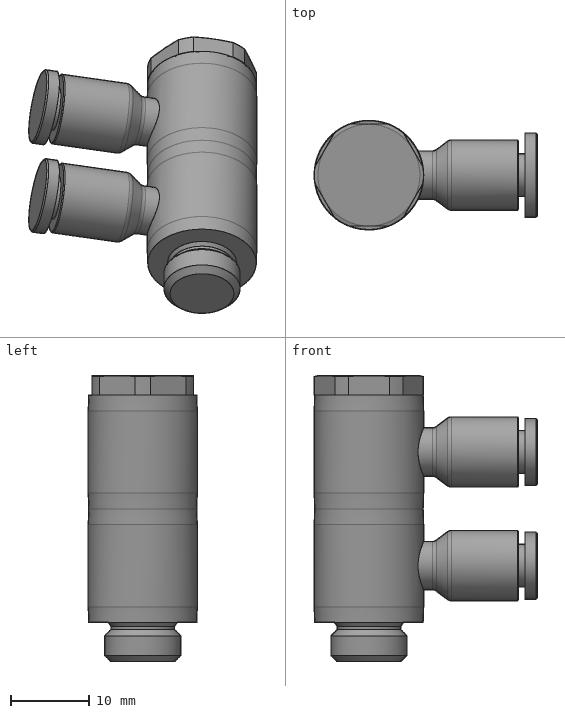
import cadquery as cq
import math

STUD_RADIUS = 9.728 / 2
STUD_CHAMFER = 0.8
STUD_TOP = 3.3
RELIEF_RADIUS = STUD_RADIUS - STUD_CHAMFER
RELIEF_BOTTOM = STUD_TOP + STUD_CHAMFER
RELIEF_TOP = 4.5
SHOULDER_RADIUS = 4.4

SLEEVE_RADIUS = 7.0
SLEEVE_BASE = 5.0
SLEEVE_HEIGHT = 14.5
SLEEVE_COUNT = 2
TAPER_LENGTH = 2.0
TAPER_ANGLE = 2.0
SLEEVE_END_RADIUS = SLEEVE_RADIUS - TAPER_LENGTH * math.tan(math.radians(TAPER_ANGLE))
SLEEVE_TOP = SLEEVE_BASE + SLEEVE_COUNT * SLEEVE_HEIGHT

HEX_HEIGHT = 2.5
HEX_ACROSS_FLATS = 13.0
HEX_CORNER_RADIUS = SLEEVE_RADIUS
HEX_CHAMFER_ANGLE = 15.0
HEX_FACE_RADIUS = HEX_ACROSS_FLATS / 2
HEX_TOP = SLEEVE_TOP + HEX_HEIGHT
HEX_CHAMFER_DROP = (HEX_CORNER_RADIUS - HEX_FACE_RADIUS) * math.tan(math.radians(HEX_CHAMFER_ANGLE))

NECK_RADIUS = 3.1
NECK_END = 8.1
SOCKET_RADIUS = 4.5
SOCKET_END = 19.1
SOCKET_CHAMFER = 0.15
CONE_ANGLE = math.radians(37.0)
BLEND_RADIUS = 0.85

COLLET_RADIUS = 2.75
COLLAR_START = 19.9
COLLAR_END = 21.5
COLLAR_HALF_WIDTH = 5.4
COLLAR_HALF_HEIGHT = 4.3
COLLAR_CHAMFER = 0.2


def make_stud():
    """Undercut, chamfered stud; its thread is left as a plain cylinder."""
    profile = (
        cq.Workplane("XZ")
        .moveTo(0, 0)
        .lineTo(STUD_RADIUS - STUD_CHAMFER, 0)
        .lineTo(STUD_RADIUS, STUD_CHAMFER)
        .lineTo(STUD_RADIUS, STUD_TOP)
        .lineTo(RELIEF_RADIUS, RELIEF_BOTTOM)
        .lineTo(RELIEF_RADIUS, RELIEF_TOP)
        .lineTo(SHOULDER_RADIUS, SLEEVE_BASE)
        .lineTo(0, SLEEVE_BASE)
        .close()
    )
    return profile.revolve(360, (0, 0), (0, 1))


def make_sleeve(base):
    """Sleeve with a slight taper at both ends."""
    top = base + SLEEVE_HEIGHT
    profile = (
        cq.Workplane("XZ")
        .moveTo(0, base)
        .lineTo(SLEEVE_END_RADIUS, base)
        .lineTo(SLEEVE_RADIUS, base + TAPER_LENGTH)
        .lineTo(SLEEVE_RADIUS, top - TAPER_LENGTH)
        .lineTo(SLEEVE_END_RADIUS, top)
        .lineTo(0, top)
        .close()
    )
    return profile.revolve(360, (0, 0), (0, 1))


def make_hex_head():
    """Hexagon with flats facing +/-Y, its corners turned round and its top edge bevelled."""
    corner_diameter = HEX_ACROSS_FLATS / math.cos(math.pi / 6)
    hexagon = cq.Workplane("XY").workplane(offset=SLEEVE_TOP).polygon(6, corner_diameter).extrude(HEX_HEIGHT)
    turned_profile = (
        cq.Workplane("XZ")
        .moveTo(0, SLEEVE_TOP)
        .lineTo(HEX_CORNER_RADIUS, SLEEVE_TOP)
        .lineTo(HEX_CORNER_RADIUS, HEX_TOP - HEX_CHAMFER_DROP)
        .lineTo(HEX_FACE_RADIUS, HEX_TOP)
        .lineTo(0, HEX_TOP)
        .close()
    )
    return hexagon.intersect(turned_profile.revolve(360, (0, 0), (0, 1)))


def make_branch_body():
    """Neck, cone and socket about the X axis; tangent arcs blend the cone at both ends."""
    arc_length = BLEND_RADIUS * math.sin(CONE_ANGLE)
    arc_rise = BLEND_RADIUS * (1 - math.cos(CONE_ANGLE))
    mid_length = BLEND_RADIUS * math.sin(CONE_ANGLE / 2)
    mid_rise = BLEND_RADIUS * (1 - math.cos(CONE_ANGLE / 2))

    cone_start = NECK_END + arc_length
    cone_rise = SOCKET_RADIUS - NECK_RADIUS - 2 * arc_rise
    cone_end = cone_start + cone_rise / math.tan(CONE_ANGLE)
    socket_start = cone_end + arc_length

    profile = (
        cq.Workplane("XZ")
        .moveTo(0, 0)
        .lineTo(0, NECK_RADIUS)
        .lineTo(NECK_END, NECK_RADIUS)
        .threePointArc(
            (NECK_END + mid_length, NECK_RADIUS + mid_rise),
            (cone_start, NECK_RADIUS + arc_rise),
        )
        .lineTo(cone_end, SOCKET_RADIUS - arc_rise)
        .threePointArc(
            (socket_start - mid_length, SOCKET_RADIUS - mid_rise),
            (socket_start, SOCKET_RADIUS),
        )
        .lineTo(SOCKET_END - SOCKET_CHAMFER, SOCKET_RADIUS)
        .lineTo(SOCKET_END, SOCKET_RADIUS - SOCKET_CHAMFER)
        .lineTo(SOCKET_END, COLLET_RADIUS)
        .lineTo(COLLAR_START, COLLET_RADIUS)
        .lineTo(COLLAR_START, 0)
        .close()
    )
    return profile.revolve(360, (0, 0), (1, 0))


def make_collar():
    """Elliptical collar, wider along Y than along Z, with its outer rim chamfered."""
    return (
        cq.Workplane("YZ")
        .workplane(offset=COLLAR_START)
        .ellipse(COLLAR_HALF_WIDTH, COLLAR_HALF_HEIGHT)
        .extrude(COLLAR_END - COLLAR_START)
        .faces(">X")
        .edges()
        .chamfer(COLLAR_CHAMFER)
    )


result = make_stud().union(make_hex_head())
branch = make_branch_body().union(make_collar())
for index in range(SLEEVE_COUNT):
    sleeve_base = SLEEVE_BASE + index * SLEEVE_HEIGHT
    branch_height = sleeve_base + SLEEVE_HEIGHT / 2
    result = result.union(make_sleeve(sleeve_base))
    result = result.union(branch.translate((0, 0, branch_height)))